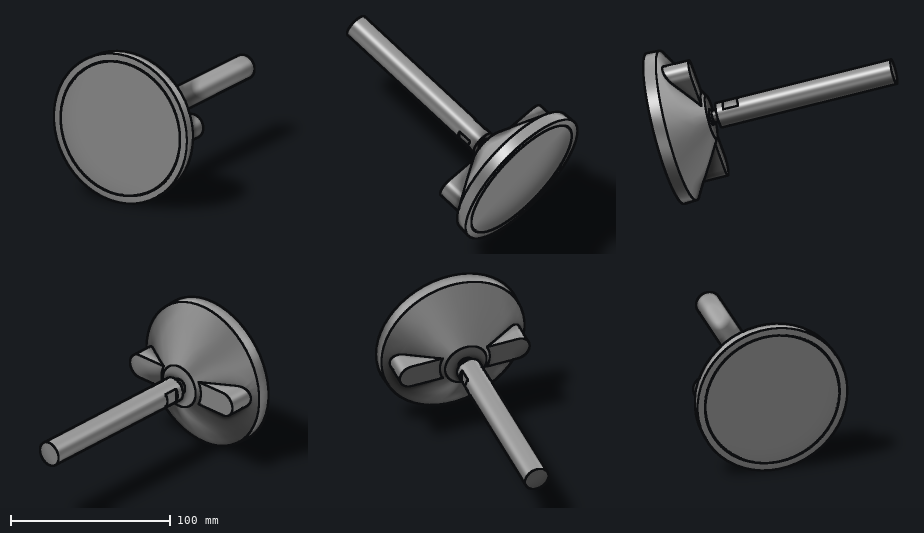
import cadquery as cq
import math

rim_height = 8.2
lug_top = 28.2
foot_height = 30.0
stem_start = 35.1
total_length = 150.0

foot_diameter = 98.0
rim_top_diameter = 97.0
crown_diameter = 28.2
pad_diameter = 87.5
pad_recess_diameter = 88.0
pad_gap_depth = 1.5

lug_span = 88.0
lug_width = 16.0

stem_diameter = 16.0
neck_diameter = 7.8
ball_diameter = 12.5
neck_start = 31.4
flat_start = 39.9
flat_length = 9.6
across_flats = 13.0


def cylinder(diameter, start, end):
    """Solid cylinder on the Y axis between two levels."""
    return cq.Workplane("XZ", origin=(0, start, 0)).circle(diameter / 2).extrude(start - end)


def make_foot():
    """Tapered rim and conical crown, revolved around the Y axis."""
    return (
        cq.Workplane("XY")
        .lineTo(foot_diameter / 2, 0)
        .lineTo(rim_top_diameter / 2, rim_height)
        .lineTo(crown_diameter / 2, foot_height)
        .lineTo(0, foot_height)
        .close()
        .revolve(360, (0, 0, 0), (0, 1, 0))
    )


def make_lugs():
    """Round-ended bar whose ends stand out of the cone on both sides."""
    return (
        cq.Workplane("XZ", origin=(0, rim_height, 0))
        .slot2D(lug_span, lug_width)
        .extrude(rim_height - lug_top)
    )


def make_pad_gap():
    """Narrow ring between the pad and its recess in the underside."""
    recess = cylinder(pad_recess_diameter, 0, pad_gap_depth)
    return recess.cut(cylinder(pad_diameter, 0, pad_gap_depth))


def make_stem():
    """Stem with two wrench flats, on a thin neck that ends in a ball."""
    stem = cylinder(stem_diameter, stem_start, total_length)
    flat_depth = (stem_diameter - across_flats) / 2
    for side in (-1, 1):
        notch = cq.Workplane("XY").box(flat_depth, flat_length, stem_diameter)
        notch_x = side * (across_flats + flat_depth) / 2
        stem = stem.cut(notch.translate((notch_x, flat_start + flat_length / 2, 0)))

    neck_to_center = math.sqrt(ball_diameter**2 - neck_diameter**2) / 2
    ball_center = neck_start - neck_to_center
    ball = cq.Workplane("XY").sphere(ball_diameter / 2).translate((0, ball_center, 0))
    neck = cylinder(neck_diameter, ball_center, stem_start)
    return stem.union(neck).union(ball)


result = make_foot().union(make_lugs()).cut(make_pad_gap()).union(make_stem())